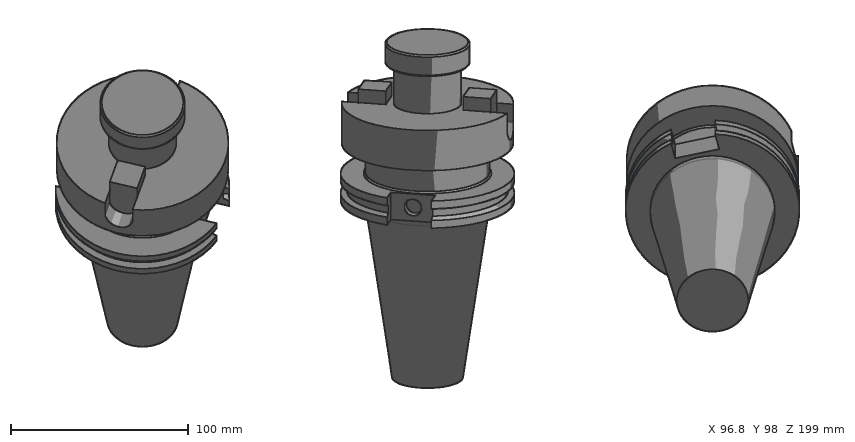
import cadquery as cq

total_height = 199.0
taper_top = 101.7
flange_bottom = 105.0
flange_top = 121.0
shoulder_bottom = 139.0
shoulder_top = 162.9
head_bottom = 186.3

taper_end_radius = 20.1
neck_radius = 35.0
flange_radius = 49.0
shoulder_radius = 48.4
pilot_radius = 19.1
head_radius = 23.9
head_chamfer = 1.0
neck_flare = 1.0

groove_bottom_radius = 45.5
groove_height = 4.2
groove_bevel = 1.4

drive_slot_width = 25.5
drive_slot_floor = 37.5
dimple_diameter = 9.8
dimple_depth = 5.0

key_width = 16.1
key_top = 170.8
key_slot_bottom = 145.0
key_inner = 22.3
key_outer = 38.2

flange_height = flange_top - flange_bottom
flange_middle = (flange_top + flange_bottom) / 2


def turned_body():
    """Taper, flange blank, neck, shoulder and pilot as one revolved profile."""
    return (
        cq.Workplane("XZ")
        .moveTo(0, 0)
        .lineTo(taper_end_radius, 0)
        .lineTo(neck_radius, taper_top)
        .lineTo(neck_radius, flange_bottom)
        .lineTo(flange_radius, flange_bottom)
        .lineTo(flange_radius, flange_top)
        .lineTo(neck_radius + neck_flare, flange_top)
        .lineTo(neck_radius, flange_top + neck_flare)
        .lineTo(neck_radius, shoulder_bottom - neck_flare)
        .lineTo(neck_radius + neck_flare, shoulder_bottom)
        .lineTo(shoulder_radius, shoulder_bottom)
        .lineTo(shoulder_radius, shoulder_top)
        .lineTo(pilot_radius, shoulder_top)
        .lineTo(pilot_radius, head_bottom)
        .lineTo(0, head_bottom)
        .close()
        .revolve(360, (0, 0, 0), (0, 1, 0))
    )


def gripper_groove():
    """Ring of material removed around the middle of the flange."""
    inner_half = groove_height / 2
    outer_half = inner_half + groove_bevel
    return (
        cq.Workplane("XZ")
        .moveTo(groove_bottom_radius, flange_middle - inner_half)
        .lineTo(flange_radius, flange_middle - outer_half)
        .lineTo(flange_radius, flange_middle + outer_half)
        .lineTo(groove_bottom_radius, flange_middle + inner_half)
        .close()
        .revolve(360, (0, 0, 0), (0, 1, 0))
    )


def drive_slot(side):
    """Flat-floored slot through the flange; side is -1 for -X and +1 for +X."""
    depth = flange_radius - drive_slot_floor
    return (
        cq.Workplane("XY")
        .box(depth, drive_slot_width, flange_height)
        .translate((side * (drive_slot_floor + depth / 2), 0, flange_middle))
    )


def slot_dimple():
    """Round blind hole in the floor of the -X drive slot."""
    return (
        cq.Workplane("YZ", origin=(-drive_slot_floor, 0, flange_middle))
        .circle(dimple_diameter / 2)
        .extrude(dimple_depth)
    )


def key_shape(inner, outer, top):
    """Round-bottomed bar on the +Y side, running from inner to outer along Y."""
    key_radius = key_width / 2
    arc_start = key_slot_bottom + key_radius
    return (
        cq.Workplane("XZ", origin=(0, inner, 0))
        .moveTo(-key_radius, top)
        .lineTo(-key_radius, arc_start)
        .threePointArc((0, key_slot_bottom), (key_radius, arc_start))
        .lineTo(key_radius, top)
        .close()
        .extrude(inner - outer)
    )


def make_holder():
    holder = turned_body().cut(gripper_groove()).cut(slot_dimple())
    for side in (-1, 1):
        holder = holder.cut(drive_slot(side))
    for angle in (0, 180):
        key_slot = key_shape(key_outer, shoulder_radius, shoulder_top)
        key = key_shape(key_inner, key_outer, key_top)
        holder = holder.cut(key_slot.rotate((0, 0, 0), (0, 0, 1), angle))
        holder = holder.union(key.rotate((0, 0, 0), (0, 0, 1), angle))
    return holder


def make_retaining_head():
    """Chamfered disc resting on the end of the pilot."""
    return (
        cq.Workplane("XY", origin=(0, 0, head_bottom))
        .circle(head_radius)
        .extrude(total_height - head_bottom)
        .edges()
        .chamfer(head_chamfer)
    )


holder = make_holder()
retaining_head = make_retaining_head()

result = cq.Compound.makeCompound([holder.val(), retaining_head.val()])